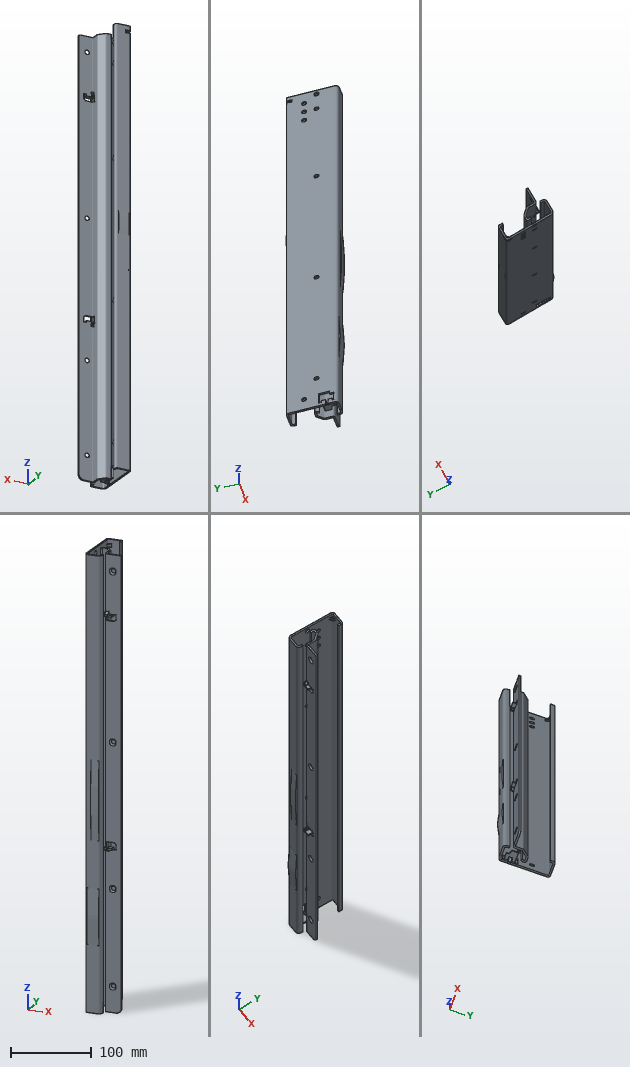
import cadquery as cq
import math

LENGTH = 600.0
SHEET = 2.5
HOLE_PITCH = 32.0
OVERALL_DEPTH = 70.8

CHANNEL_BOTTOM = 1.7
CHANNEL_TOP = 70.4
CHANNEL_DEPTH = 22.0
LOWER_LIP_END = 9.6
UPPER_LIP_END = 63.6
LOWER_BEND = 4.6
UPPER_BEND = 3.2
LIP_BEND = 2.8

WEB_HOLE_DIAMETER = 6.2
ROW_Y = 30.0
ROW_FIRST_Z = 53.0
TOP_HOLE_Z = 593.0
ROW_Z = [ROW_FIRST_Z + HOLE_PITCH * n for n in (0, 6, 12, 16)] + [TOP_HOLE_Z]
CLEAR_HOLE_Y = 46.2
CLEAR_LOWEST_Z = 19.0
CLEAR_GROUP_Z = 565.0
CLEAR_HOLE_Z = [CLEAR_LOWEST_Z] + [CLEAR_GROUP_Z + HOLE_PITCH / 2 * n for n in (-1, 0, 1)]

RAISED_HEIGHT = CHANNEL_BOTTOM
LONG_RAMP = (8.7, 19.5, 279.2, 104.8, 36.2)
SHORT_RAMP = (3.4, 19.5, 126.5, 74.1, 5.4)
UPPER_SWELL = (3.4, 18.0, 332.5, 30.0, 14.0)
SWELL_HEIGHT = OVERALL_DEPTH - CHANNEL_TOP

TAB_TOP = 8.2
WINDOW_TOP = 22.6
WINDOW_LOW_TOP = 18.5
WINDOW_Y = (7.4, 27.3)
WINDOW_STEP_Y = 13.0
TAB_REACH = 15.7
TAB_STEP_X = 10.5
TAB_Y = (9.4, 23.7)
TAB_STEP_Y = 13.0
TAB_TIP_LOW_Y = 15.0

DENT_SKIN = 1.2
DENT_WIDTH = 5.0
DENT_HOLLOW_WIDTH = 3.6
WEB_DENT_REACH = 9.3
CATCH_DENT_REACH = 8.0
TAB_DENT_Y = 16.4
CORNER_DENT_Z = 592.0

FLANGE_RIGHT = 44.4
FLANGE_TOP = 16.2
STRIP_RIGHT = 24.4
STRIP_TOP = 26.8
HOOK_TOP = 36.1
HOOK_LEFT = 8.4
HOOK_FLAT_END = 16.2
HOOK_LEG_END = (10.6, 29.4)
HOOK_LEG_KNEE_Y = 31.8
PROFILE_BEND = 1.6
FLANGE_LOWER_RADIUS = 7.0
FLANGE_UPPER_RADIUS = 1.5

SCREW_X = 33.0
SCREW_FIRST_Z = 34.3
SCREW_Z = [SCREW_FIRST_Z + HOLE_PITCH * n for n in (0, 4, 10, 17)]
SCREW_DIAMETER = 5.6
SCREW_HEAD_DIAMETER = 9.4

CATCH_SLOT_X = (22.0, 37.6)
SLOT_HEIGHT = 9.1
SLOT_TAPER = 2.5
CATCH_X = (22.6, 33.5)
CATCH_TIP_Y = 9.4
CATCH_DENT_X = 25.2
CATCHES = [(521.9, -1), (213.8, 1)]


def folded_sheet(points, radii):
    """Sheet of even thickness whose middle line follows points, each bend having its middle radius."""
    half = SHEET / 2
    headings = [math.atan2(b[1] - a[1], b[0] - a[0]) for a, b in zip(points, points[1:])]

    def shifted(point, heading, distance):
        return (point[0] - distance * math.sin(heading), point[1] + distance * math.cos(heading))

    def side(distance):
        stations = [("line", shifted(points[0], headings[0], distance))]
        for corner, before, after, radius in zip(points[1:], headings, headings[1:], radii):
            turn = math.remainder(after - before, 2 * math.pi)
            setback = radius * math.tan(abs(turn) / 2)
            start = (corner[0] - setback * math.cos(before), corner[1] - setback * math.sin(before))
            centre = shifted(start, before, math.copysign(radius, turn))
            arm = distance - math.copysign(radius, turn)
            stations.append(("line", shifted(centre, before, arm)))
            stations.append(("arc", shifted(centre, before + turn / 2, arm), shifted(centre, after, arm)))
        stations.append(("line", shifted(points[-1], headings[-1], distance)))
        return stations

    left = side(half)
    outline = cq.Workplane("XY").moveTo(*left[0][1])
    for step in left[1:]:
        outline = outline.lineTo(*step[1]) if step[0] == "line" else outline.threePointArc(*step[1:])
    right = side(-half)
    outline = outline.lineTo(*right[-1][1])
    for step, previous in zip(reversed(right[:-1]), reversed(right[1:])):
        if previous[0] == "arc":
            outline = outline.threePointArc(previous[1], step[1])
        else:
            outline = outline.lineTo(*step[-1])
    return outline.close().extrude(LENGTH)


def block(x, y, z):
    """Box from (low, high) pairs along the three axes."""
    size = [max(pair) - min(pair) for pair in (x, y, z)]
    return cq.Workplane("XY").box(*size, centered=False).translate((min(x), min(y), min(z)))


def raised_run(run, base_y, height):
    """Low platform with a ramp at each end, standing in -Y (negative height) or +Y from base_y."""
    first_x, last_x, mid_z, length, crest = run
    root_y = base_y - math.copysign(SHEET / 2, height)
    outline = [
        (root_y, mid_z - length / 2),
        (base_y, mid_z - length / 2),
        (base_y + height, mid_z - crest / 2),
        (base_y + height, mid_z + crest / 2),
        (base_y, mid_z + length / 2),
        (root_y, mid_z + length / 2),
    ]
    return cq.Workplane("YZ", origin=(first_x, 0, 0)).polyline(outline).close().extrude(last_x - first_x)


def build_channel():
    """C section with raised runs, web holes, a stop tab and a dent in the upper corner bend."""
    half = SHEET / 2
    middle = [
        (CHANNEL_DEPTH - half, LOWER_LIP_END),
        (CHANNEL_DEPTH - half, CHANNEL_BOTTOM + half),
        (half, CHANNEL_BOTTOM + half),
        (half, CHANNEL_TOP - half),
        (CHANNEL_DEPTH - half, CHANNEL_TOP - half),
        (CHANNEL_DEPTH - half, UPPER_LIP_END),
    ]
    radii = [bend - half for bend in (LOWER_BEND, LOWER_BEND, UPPER_BEND, LIP_BEND)]
    channel = folded_sheet(middle, radii)

    channel = channel.union(raised_run(LONG_RAMP, CHANNEL_BOTTOM, -RAISED_HEIGHT))
    channel = channel.union(raised_run(SHORT_RAMP, CHANNEL_BOTTOM, -RAISED_HEIGHT))
    channel = channel.union(raised_run(UPPER_SWELL, CHANNEL_TOP, SWELL_HEIGHT))

    centres = [(ROW_Y, z) for z in ROW_Z] + [(CLEAR_HOLE_Y, z) for z in CLEAR_HOLE_Z]
    holes = cq.Workplane("YZ").pushPoints(centres).circle(WEB_HOLE_DIAMETER / 2).extrude(SHEET)
    channel = channel.cut(holes)

    channel = add_stop_tab(channel)
    return press_dent(channel, "XY", (0, 0, CORNER_DENT_Z), (0, CHANNEL_TOP), (1, -1), WEB_DENT_REACH)


def add_stop_tab(channel):
    """Open a stepped window near the lower end of the web and bend its tab towards +X."""
    tab_bottom = TAB_TOP - SHEET
    through_web = (0, SHEET)
    channel = channel.cut(block(through_web, (WINDOW_STEP_Y, WINDOW_Y[1]), (tab_bottom, WINDOW_TOP)))
    channel = channel.cut(block(through_web, (WINDOW_Y[0], WINDOW_STEP_Y), (tab_bottom, WINDOW_LOW_TOP)))
    tab_outline = [
        (0, TAB_Y[0]),
        (TAB_STEP_X, TAB_Y[0]),
        (TAB_STEP_X, TAB_STEP_Y),
        (TAB_REACH, TAB_TIP_LOW_Y),
        (TAB_REACH, TAB_Y[1]),
        (0, TAB_Y[1]),
    ]
    tab = cq.Workplane("XY", origin=(0, 0, tab_bottom)).polyline(tab_outline).close().extrude(SHEET)
    channel = channel.union(tab)

    return press_dent(channel, "XZ", (0, TAB_DENT_Y, 0), (0, TAB_TOP), (1, -1), WEB_DENT_REACH)


def press_dent(body, plane, mid, corner, inward, reach):
    """Press a stiffening dent into the outer corner of a bend: a gusset inside and a hollow outside.

    corner and inward are in the plane across the bend, mid is the dent's middle along the bend,
    and reach is how far the dent runs from the corner along each wall.
    """

    def wedge(depth, leg, width):
        tip = (corner[0] + inward[0] * depth, corner[1] + inward[1] * depth)
        outline = [tip, (tip[0] + inward[0] * leg, tip[1]), (tip[0], tip[1] + inward[1] * leg)]
        return cq.Workplane(plane, origin=mid).polyline(outline).close().extrude(width / 2, both=True)

    gusset = wedge(SHEET / 2, reach - SHEET, DENT_WIDTH)
    hollow = wedge(0, reach - DENT_SKIN, DENT_HOLLOW_WIDTH)
    return body.union(gusset).cut(hollow)


def build_profile():
    """Hook, strip and flange in one folded sheet, with screw holes and two catches bent out in -Y."""
    half = SHEET / 2
    middle = [
        HOOK_LEG_END,
        (HOOK_LEFT + half, HOOK_LEG_KNEE_Y),
        (HOOK_LEFT + half, HOOK_TOP - half),
        (HOOK_FLAT_END, HOOK_TOP - half),
        (STRIP_RIGHT - half, STRIP_TOP),
        (STRIP_RIGHT - half, FLANGE_TOP - half),
        (FLANGE_RIGHT, FLANGE_TOP - half),
    ]
    radii = [PROFILE_BEND] * (len(middle) - 2)
    profile = folded_sheet(middle, radii)
    profile = profile.faces(">X").edges("<Z").fillet(FLANGE_LOWER_RADIUS)
    profile = profile.faces(">X").edges(">Z").fillet(FLANGE_UPPER_RADIUS)

    for z in SCREW_Z:
        hole = (
            cq.Workplane("XZ", origin=(SCREW_X, FLANGE_TOP, z))
            .circle(SCREW_DIAMETER / 2)
            .workplane(offset=SHEET)
            .circle(SCREW_HEAD_DIAMETER / 2)
            .loft()
        )
        profile = profile.cut(hole)

    for edge_z, inward in CATCHES:
        slot_end = edge_z + inward * SLOT_HEIGHT
        slot_outline = [
            (CATCH_SLOT_X[0], edge_z),
            (CATCH_SLOT_X[1], edge_z),
            (CATCH_SLOT_X[1], slot_end - inward * SLOT_TAPER),
            (CATCH_SLOT_X[1] - SLOT_TAPER, slot_end),
            (CATCH_SLOT_X[0], slot_end),
        ]
        slot = (
            cq.Workplane("XZ", origin=(0, FLANGE_TOP, 0))
            .polyline(slot_outline)
            .close()
            .extrude(SHEET, both=True)
        )
        profile = profile.cut(slot)
        catch = block(CATCH_X, (CATCH_TIP_Y, FLANGE_TOP), (edge_z, edge_z + inward * SHEET))
        profile = profile.union(catch)
        dent_corner = (FLANGE_TOP, edge_z + inward * SHEET)
        dent_mid = (CATCH_DENT_X, 0, 0)
        profile = press_dent(profile, "YZ", dent_mid, dent_corner, (-1, -inward), CATCH_DENT_REACH)
    return profile


channel = build_channel()
profile = build_profile()
result = cq.Compound.makeCompound([channel.val(), profile.val()])